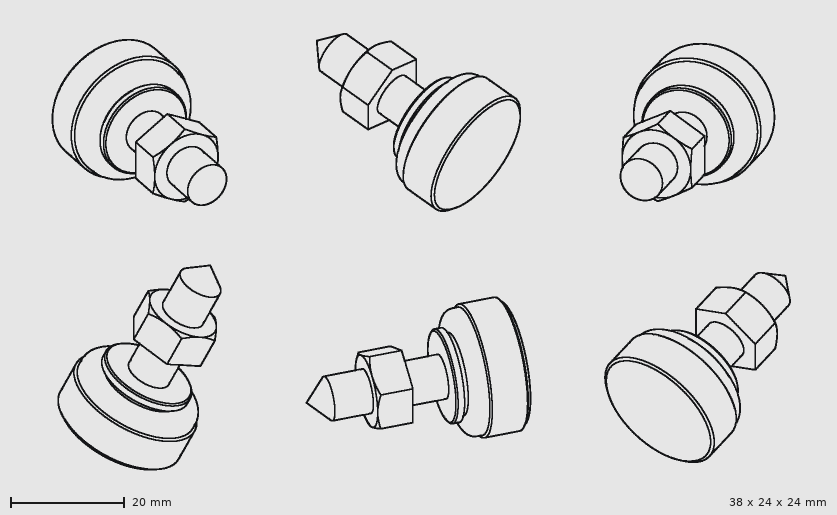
import cadquery as cq
import math

band_radius = 12.0
drum_radius = 11.5
head_length = 10.5
face_round = 1.0
back_round = 1.75
band_start = 1.0
band_end = 7.5
bevel_angle = math.radians(60)

collar_radius = 7.5
collar_length = 1.0
flange_radius = 8.5
flange_thickness = 1.5
flange_chamfer = 0.3

stud_radius = 4.0
overall_length = 38.0

nut_across_flats = 13.0
nut_thickness = 6.5
nut_start = 20.4
nut_chamfer_angle = math.radians(30)

flange_start = head_length + collar_length
flange_end = flange_start + flange_thickness
tip_start = overall_length - stud_radius
nut_corner_radius = nut_across_flats / 2 / math.cos(math.pi / 6)


def revolve_about_x(profile):
    """Turn a closed X-radius profile a full circle about the X axis."""
    return profile.close().revolve(360, (0, 0, 0), (1, 0, 0))


def make_drum():
    """Drum of the head with rounded front and back rims."""
    drum = cq.Workplane("YZ").circle(drum_radius).extrude(head_length)
    return drum.faces("<X").edges().fillet(face_round).faces(">X").edges().fillet(back_round)


def make_band():
    """Raised band whose ends slope down into the drum."""
    root_radius = drum_radius - face_round / 2
    bevel_run = (band_radius - root_radius) / math.tan(bevel_angle)
    return revolve_about_x(
        cq.Workplane("XY")
        .moveTo(band_start, 0)
        .lineTo(band_start - bevel_run, root_radius)
        .lineTo(band_start, band_radius)
        .lineTo(band_end, band_radius)
        .lineTo(band_end + bevel_run, root_radius)
        .lineTo(band_end, 0)
    )


def make_shank():
    """Collar, flange and pointed stud, starting at the back of the head."""
    return revolve_about_x(
        cq.Workplane("XY")
        .moveTo(head_length, 0)
        .lineTo(head_length, collar_radius)
        .lineTo(flange_start, collar_radius)
        .lineTo(flange_start, flange_radius)
        .lineTo(flange_end - flange_chamfer, flange_radius)
        .lineTo(flange_end, flange_radius - flange_chamfer)
        .lineTo(flange_end, stud_radius)
        .lineTo(tip_start, stud_radius)
        .lineTo(overall_length, 0)
    )


def make_screw():
    """Head and shank as one solid."""
    return make_drum().union(make_band()).union(make_shank())


def make_nut():
    """Nut with two corners on the Z axis and a bore that fits the stud."""
    nut_end = nut_start + nut_thickness
    hexagon = (
        cq.Workplane("YZ", origin=(nut_start, 0, 0))
        .polygon(6, 2 * nut_corner_radius)
        .extrude(nut_thickness)
        .rotate((0, 0, 0), (1, 0, 0), 90)
    )
    flat_radius = nut_across_flats / 2
    blank_radius = 2 * nut_corner_radius
    chamfer_run = (blank_radius - flat_radius) * math.tan(nut_chamfer_angle)
    chamfered_blank = revolve_about_x(
        cq.Workplane("XY")
        .moveTo(nut_start, 0)
        .lineTo(nut_start, blank_radius)
        .lineTo(nut_end - chamfer_run, blank_radius)
        .lineTo(nut_end, flat_radius)
        .lineTo(nut_end, 0)
    )
    bore = (
        cq.Workplane("YZ", origin=(nut_start, 0, 0))
        .circle(stud_radius)
        .extrude(nut_thickness)
    )
    return hexagon.intersect(chamfered_blank).cut(bore)


screw = make_screw()
nut = make_nut()
result = cq.Compound.makeCompound([screw.solids().val(), nut.solids().val()])